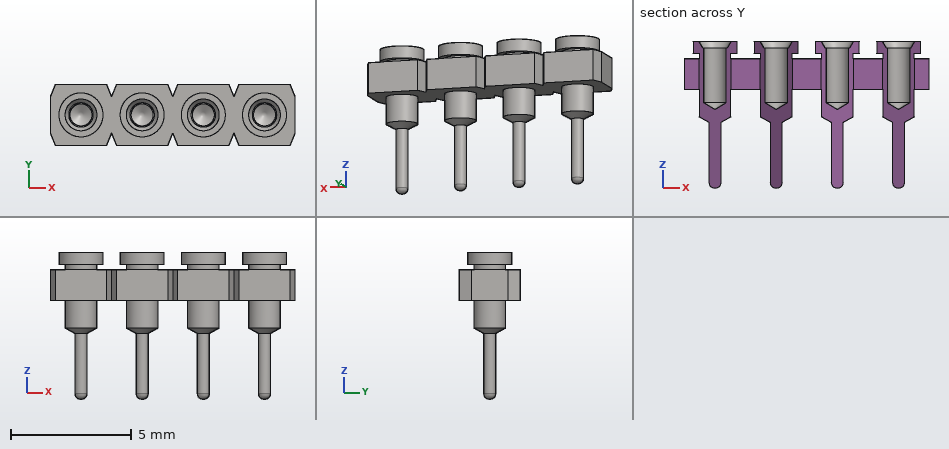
import cadquery as cq
import math

contact_count = 4
pitch = 2.54

housing_width = 2.54
housing_height = 1.29
notch_half_width = 0.2
notch_depth = 0.51

neck_height = 0.2
flange_height = 0.51
flange_bottom = housing_height + neck_height
flange_top = flange_bottom + flange_height
barrel_bottom = -1.14
shoulder_bottom = -1.36
overall_height = 6.1
tip_bottom = flange_top - overall_height

flange_radius = 1.83 / 2
barrel_radius = 1.32 / 2
tail_radius = 0.51 / 2
tip_flat_radius = 0.02
tip_round = tail_radius - tip_flat_radius

socket_mouth_radius = 1.32 / 2
socket_throat_radius = 1.02 / 2
socket_bore_radius = 0.91 / 2
lead_in_depth = 0.26
bore_depth = 2.54
drill_point_angle = 118.0
drill_point_depth = socket_bore_radius / math.tan(math.radians(drill_point_angle / 2))


def contact_x(index):
    """X position of a contact, with the row centred on the origin."""
    return (index - (contact_count - 1) / 2) * pitch


def make_cell(x):
    """One housing cell: a block with four bevelled upright corners."""
    half_x = pitch / 2
    half_y = housing_width / 2
    flat_x = half_x - notch_half_width
    flat_y = half_y - notch_depth
    outline = [
        (-flat_x, -half_y), (flat_x, -half_y),
        (half_x, -flat_y), (half_x, flat_y),
        (flat_x, half_y), (-flat_x, half_y),
        (-half_x, flat_y), (-half_x, -flat_y),
    ]
    return cq.Workplane("XY").polyline(outline).close().extrude(housing_height).translate((x, 0, 0))


def make_housing():
    """Joined cells, with a through hole for each contact barrel."""
    housing = make_cell(contact_x(0))
    for index in range(1, contact_count):
        housing = housing.union(make_cell(contact_x(index)))
    holes = [(contact_x(index), 0) for index in range(contact_count)]
    bores = cq.Workplane("XY").pushPoints(holes).circle(barrel_radius).extrude(housing_height)
    return housing.clean().cut(bores)


def make_contact(x):
    """Turned contact: half section revolved about its upright axis."""
    tip_top = tip_bottom + tip_round
    diagonal = tip_round * math.sqrt(0.5)
    bore_bottom = flange_top - bore_depth
    section = (
        cq.Workplane("XZ")
        .moveTo(0, tip_bottom)
        .lineTo(tip_flat_radius, tip_bottom)
        .threePointArc((tip_flat_radius + diagonal, tip_top - diagonal), (tail_radius, tip_top))
        .lineTo(tail_radius, shoulder_bottom)
        .lineTo(barrel_radius, barrel_bottom)
        .lineTo(barrel_radius, flange_bottom)
        .lineTo(flange_radius, flange_bottom)
        .lineTo(flange_radius, flange_top)
        .lineTo(socket_mouth_radius, flange_top)
        .lineTo(socket_throat_radius, flange_top - lead_in_depth)
        .lineTo(socket_bore_radius, flange_top - lead_in_depth)
        .lineTo(socket_bore_radius, bore_bottom)
        .lineTo(0, bore_bottom - drill_point_depth)
        .close()
    )
    return section.revolve(360, (0, 0, 0), (0, 1, 0)).translate((x, 0, 0))


housing = make_housing()
contacts = [make_contact(contact_x(index)).val() for index in range(contact_count)]

result = cq.Compound.makeCompound([housing.val(), *contacts])